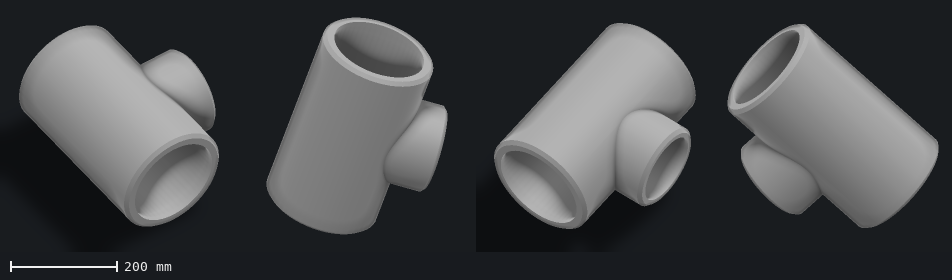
import cadquery as cq

run_length = 355.5
run_diameter = 219.0
run_bore = 178.0
branch_diameter = 168.2
branch_wall = 16.7
branch_reach = 168.2
bevel = 6.8

branch_bore = branch_diameter - 2 * branch_wall


def run_cylinder(diameter):
    """Cylinder along X, centred on the origin."""
    return cq.Workplane("YZ").circle(diameter / 2).extrude(run_length / 2, both=True)


def branch_cylinder(diameter):
    """Cylinder along +Y from the run axis to the branch end."""
    return cq.Workplane("XZ").circle(diameter / 2).extrude(-branch_reach)


run = run_cylinder(run_diameter).faces("<X or >X").edges().chamfer(bevel)
branch = branch_cylinder(branch_diameter).faces(">Y").edges().chamfer(bevel)

result = run.union(branch).cut(run_cylinder(run_bore)).cut(branch_cylinder(branch_bore))